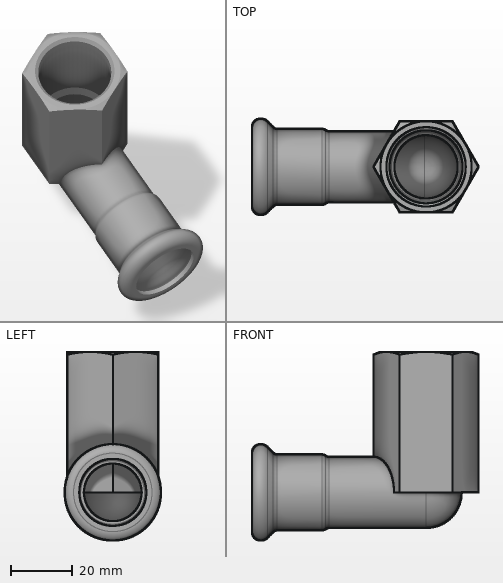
import cadquery as cq
import math

total_length = 74.3
hex_height = 46.0
hex_across_flats = 29.9
hex_across_corners = hex_across_flats / math.cos(math.radians(30))
hex_x = total_length - hex_across_corners / 2
hex_chamfer_height = 0.9

socket_mouth_radius = 13.0
socket_radius = 12.0
outlet_radius = 10.37
socket_chamfer_depth = socket_mouth_radius - socket_radius
socket_depth = 29.7
socket_end_cone_height = socket_radius - outlet_radius

wall = 1.5
barrel_radius = 25.0 / 2
pipe_radius = 23.4 / 2
bead_tube_radius = 3.0
bead_ring_radius = 12.85
bead_fillet_radius = 1.8
barrel_end_x = 23.0
pipe_start_x = 25.3
stop_radius = 9.45


def bead_transition(tube_radius, fillet_radius, target_radius):
    """Points down the 45 degree flank of the bead: flank start, flank end, fillet middle, fillet end."""
    diagonal = math.sqrt(0.5)
    flank_start_x = bead_tube_radius + tube_radius * diagonal
    flank_start_r = bead_ring_radius + tube_radius * diagonal
    flank_end_r = target_radius + fillet_radius * (1 - diagonal)
    flank_end_x = flank_start_x + flank_start_r - flank_end_r
    fillet_end_x = flank_end_x + fillet_radius * diagonal
    half_angle = math.radians(22.5)
    middle = (
        fillet_end_x - fillet_radius * math.sin(half_angle),
        target_radius + fillet_radius * (1 - math.cos(half_angle)),
    )
    return (
        (flank_start_x, flank_start_r),
        (flank_end_x, flank_end_r),
        middle,
        (fillet_end_x, target_radius),
    )


def revolve_about_x(profile):
    return profile.close().revolve(360, (0, 0, 0), (1, 0, 0))


def tube_outside():
    flank_start, flank_end, fillet_middle, fillet_end = bead_transition(
        bead_tube_radius, bead_fillet_radius, barrel_radius
    )
    step_middle = ((barrel_end_x + pipe_start_x) / 2, (barrel_radius + pipe_radius) / 2)
    profile = (
        cq.Workplane("XY")
        .lineTo(0, bead_ring_radius)
        .threePointArc((bead_tube_radius, bead_ring_radius + bead_tube_radius), flank_start)
        .lineTo(*flank_end)
        .threePointArc(fillet_middle, fillet_end)
        .lineTo(barrel_end_x, barrel_radius)
        .tangentArcPoint(step_middle, relative=False)
        .tangentArcPoint((pipe_start_x, pipe_radius), relative=False)
        .lineTo(hex_x, pipe_radius)
        .lineTo(hex_x, 0)
    )
    end_cap = cq.Workplane("XY").sphere(pipe_radius).translate((hex_x, 0, 0))
    return revolve_about_x(profile).union(end_cap)


def tube_inside():
    """Mouth, seal groove inside the bead, insertion stop and widening pipe bore with a round end."""
    groove_radius = bead_tube_radius - wall
    barrel_bore_radius = barrel_radius - wall
    flank_start, flank_end, fillet_middle, fillet_end = bead_transition(
        groove_radius, bead_fillet_radius + wall, barrel_bore_radius
    )
    profile = (
        cq.Workplane("XY")
        .lineTo(0, barrel_bore_radius)
        .lineTo(wall, barrel_bore_radius)
        .lineTo(wall, bead_ring_radius)
        .threePointArc((bead_tube_radius, bead_ring_radius + groove_radius), flank_start)
        .lineTo(*flank_end)
        .threePointArc(fillet_middle, fillet_end)
        .lineTo(barrel_end_x, barrel_bore_radius)
        .lineTo(barrel_end_x, stop_radius)
        .lineTo(hex_x, outlet_radius)
        .lineTo(hex_x, 0)
    )
    round_end = cq.Workplane("XY").sphere(outlet_radius).translate((hex_x, 0, 0))
    return revolve_about_x(profile).union(round_end)


def revolve_about_socket_axis(profile):
    return profile.close().revolve(360, (0, 0, 0), (0, 1, 0)).translate((hex_x, 0, 0))


def hex_body():
    prism = (
        cq.Workplane("XY").center(hex_x, 0).polygon(6, hex_across_corners).extrude(hex_height)
    )
    chamfer_envelope = revolve_about_socket_axis(
        cq.Workplane("XZ")
        .lineTo(hex_across_corners / 2, 0)
        .lineTo(hex_across_corners / 2, hex_height - hex_chamfer_height)
        .lineTo(hex_across_flats / 2, hex_height)
        .lineTo(0, hex_height)
    )
    return prism.intersect(chamfer_envelope)


def hex_bore():
    socket_floor_z = hex_height - socket_depth
    return revolve_about_socket_axis(
        cq.Workplane("XZ")
        .lineTo(outlet_radius, 0)
        .lineTo(outlet_radius, socket_floor_z - socket_end_cone_height)
        .lineTo(socket_radius, socket_floor_z)
        .lineTo(socket_radius, hex_height - socket_chamfer_depth)
        .lineTo(socket_mouth_radius, hex_height)
        .lineTo(0, hex_height)
    )


result = tube_outside().cut(tube_inside()).union(hex_body()).cut(hex_bore())